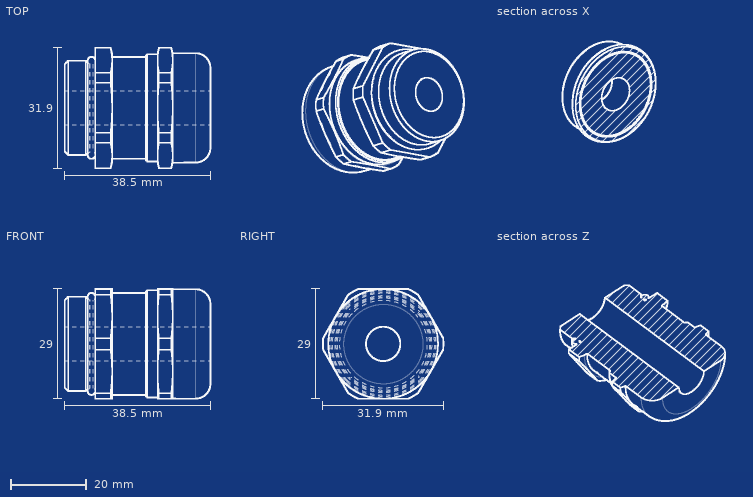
import cadquery as cq
import math


total_length = 38.5
thread_end = 5.6
body_hex_start = 8.0
body_hex_end = 12.5
collar_start = 21.45
nut_hex_start = 24.5
nut_hex_end = 28.5

bore_diameter = 9.0
thread_diameter = 25.0
thread_root_diameter = 23.16
barrel_diameter = 27.0
collar_diameter = 28.42
cap_diameter = 28.98

hex_sides = 6
across_flats = 29.0
hex_corner_diameter = 31.88
hex_bevel_angle = 15.0
quarter_turn = 90

collar_chamfer = 0.4
cap_fillet = 4.0

ring_section_diameter = 2.0
ring_squeeze = 0.05
ring_outer_diameter = barrel_diameter


def cylinder(start, end, diameter):
    """Solid cylinder on the X axis."""
    return cq.Workplane("YZ", origin=(start, 0, 0)).circle(diameter / 2).extrude(end - start)


def revolve_about_x(profile):
    """Full turn of a profile given as (x, radius) in the XY plane."""
    full_turn = 360
    return profile.revolve(full_turn, (0, 0, 0), (1, 0, 0))


def make_thread_spigot():
    """Entry thread envelope with a lead-in chamfer and an undercut under the sealing ring."""
    thread_radius = thread_diameter / 2
    root_radius = thread_root_diameter / 2
    chamfer = thread_radius - root_radius
    profile = (
        cq.Workplane("XY")
        .moveTo(0, 0)
        .lineTo(0, root_radius)
        .lineTo(chamfer, thread_radius)
        .lineTo(thread_end, thread_radius)
        .lineTo(thread_end + chamfer, root_radius)
        .lineTo(body_hex_start, root_radius)
        .lineTo(body_hex_start, 0)
        .close()
    )
    return revolve_about_x(profile)


def make_sealing_ring():
    section_radius = ring_section_diameter / 2
    center_x = body_hex_start + ring_squeeze - section_radius
    center_radius = ring_outer_diameter / 2 - section_radius
    section = cq.Workplane("XY").moveTo(center_x, center_radius).circle(section_radius)
    return revolve_about_x(section)


def make_hexagon(start, end, bevel_start):
    """Hexagon with flats facing +/-Z, rounded corners and conical bevels on its end faces."""
    flat_radius = across_flats / 2
    corner_radius = hex_corner_diameter / 2
    bevel_length = (corner_radius - flat_radius) * math.tan(math.radians(hex_bevel_angle))
    prism = (
        cq.Workplane("YZ", origin=(start, 0, 0))
        .polygon(hex_sides, across_flats, circumscribed=True)
        .extrude(end - start)
        .rotate((0, 0, 0), (1, 0, 0), quarter_turn)
    )
    envelope = cq.Workplane("XY").moveTo(start, 0)
    if bevel_start:
        envelope = envelope.lineTo(start, flat_radius).lineTo(start + bevel_length, corner_radius)
    else:
        envelope = envelope.lineTo(start, corner_radius)
    envelope = (
        envelope.lineTo(end - bevel_length, corner_radius)
        .lineTo(end, flat_radius)
        .lineTo(end, 0)
        .close()
    )
    return prism.intersect(revolve_about_x(envelope))


def make_barrel():
    return cylinder(body_hex_end, collar_start, barrel_diameter)


def make_collar():
    collar = cylinder(collar_start, nut_hex_start, collar_diameter)
    return collar.faces("<X").edges().chamfer(collar_chamfer)


def make_cap():
    cap = cylinder(nut_hex_end, total_length, cap_diameter)
    return cap.faces(">X").edges().fillet(cap_fillet)


bore = cylinder(0, total_length, bore_diameter)

result = (
    make_thread_spigot()
    .union(make_sealing_ring())
    .union(make_hexagon(body_hex_start, body_hex_end, bevel_start=False))
    .union(make_barrel())
    .union(make_collar())
    .union(make_hexagon(nut_hex_start, nut_hex_end, bevel_start=True))
    .union(make_cap())
    .cut(bore)
)